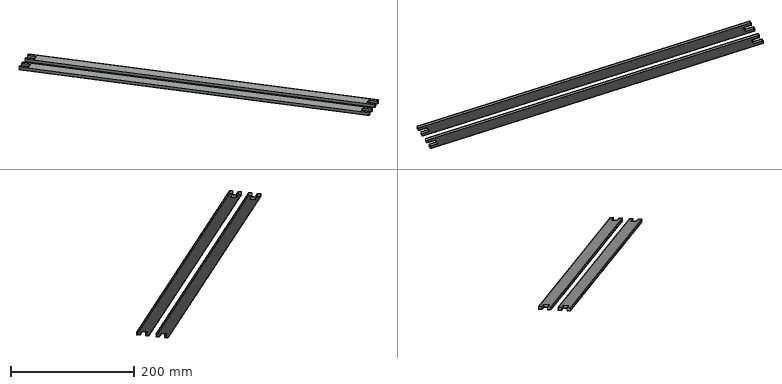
import cadquery as cq

strip_length = 596.0
strip_thickness = 5.0
pair_width = 52.5

strip_width = 20.0
slot_depth = 15.0
slot_width = 9.0

strip_spacing = pair_width - strip_width


def end_slot_cutter(end_x):
    """Block centred on a strip end, reaching one slot depth into the strip."""
    return cq.Workplane("XY").box(2 * slot_depth, slot_width, 2 * strip_thickness).translate((end_x, 0, 0))


def make_strip(center_y):
    """Flat strip along X with a rectangular slot open at both ends."""
    strip = cq.Workplane("XY").box(strip_length, strip_width, strip_thickness)
    for end_x in (-strip_length / 2, strip_length / 2):
        strip = strip.cut(end_slot_cutter(end_x))
    return strip.translate((0, center_y, 0))


strips = []
for side in (-1, 1):
    strips.append(make_strip(side * strip_spacing / 2).val())

result = cq.Compound.makeCompound(strips)